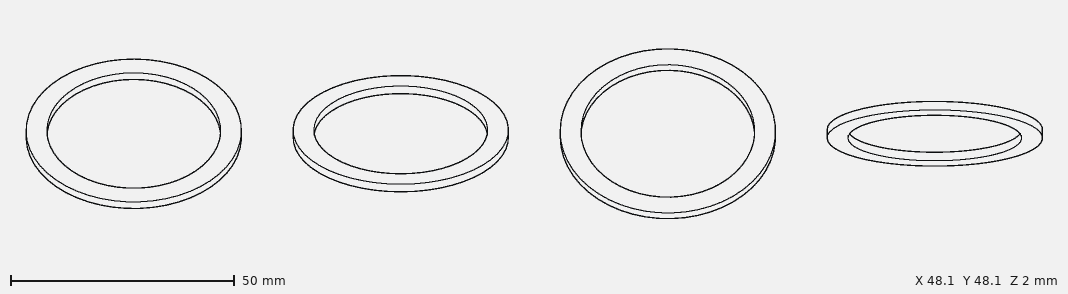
import cadquery as cq

OUTER_DIAMETER = 48.15
INNER_DIAMETER = 38.8
THICKNESS = 2.0


def flat_ring(outer_diameter, inner_diameter, thickness):
    """Plain ring centred on the Z axis, resting on the XY plane."""
    return (
        cq.Workplane("XY")
        .circle(outer_diameter / 2)
        .circle(inner_diameter / 2)
        .extrude(thickness)
    )


result = flat_ring(OUTER_DIAMETER, INNER_DIAMETER, THICKNESS)